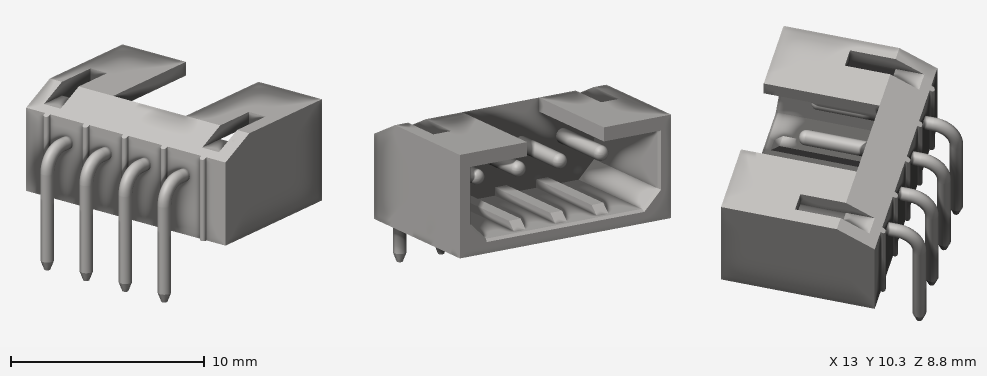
import cadquery as cq
import math


pin_count = 4
pitch = 2.54

body_width = 12.98
body_length = 8.2
body_height = 5.6
slope_length = 2.02
slope_drop = 1.0

roof_thickness = 0.76
floor_thickness = 0.75
side_wall = 0.75
cavity_floor_width = 9.58
lead_in = 0.14
cavity_depth = body_length - slope_length
cavity_top = body_height - roof_thickness
cavity_half_width = body_width / 2 - side_wall

gap_width = 4.72
slot_width = 1.09
slot_center_x = 5.15
slot_end_y = 4.45

guide_width = 0.72
guide_height = 0.45
guide_setback = 0.42
guide_slope_length = 0.47

standoff_width = 0.34
standoff_reach = 0.215
standoff_root = 0.4
standoff_flat = 0.06
standoff_radius = (standoff_width - standoff_flat) / 2

pin_height = 3.3
lead_diameter = 0.71
contact_diameter = 0.82
contact_tip_y = 6.02
contact_tip_rounding = 0.38
body_overlap = 1.0
bend_radius = 1.17
overall_length = 10.25
overall_height = 8.8
lead_y = body_length - overall_length + lead_diameter / 2
lead_tip_z = body_height - overall_height
taper_length = 0.51
taper_end_diameter = 0.32


def row_positions(count):
    """X positions of evenly pitched features centred on X = 0."""
    return [(i - (count - 1) / 2) * pitch for i in range(count)]


def extrude_along_x(profile, width, center_x):
    """Extrude a closed YZ profile symmetrically about X = center_x."""
    return profile.extrude(width / 2, both=True).translate((center_x, 0, 0))


def slope_rear_edge(solid):
    """Cut away everything above the sloped plane at the rear of the roof."""
    overshoot = 1.0
    steepness = slope_drop / slope_length
    profile = (
        cq.Workplane("YZ")
        .moveTo(slope_length, body_height)
        .lineTo(-overshoot, body_height - slope_drop - overshoot * steepness)
        .lineTo(-overshoot, body_height)
        .close()
    )
    return solid.cut(extrude_along_x(profile, body_width, 0))


def standoff_rib(x):
    """Full-height rib on the rear face, with two rounded corners."""
    return (
        cq.Workplane("XY", origin=(x, (standoff_root - standoff_reach) / 2, 0))
        .rect(standoff_width, standoff_root + standoff_reach)
        .extrude(body_height)
        .faces("<Y")
        .edges("|Z")
        .fillet(standoff_radius)
    )


def cavity_outline(workplane, growth):
    """Draw the bevelled cavity section, its floor, bevels and sides moved outward by growth."""
    half_floor = cavity_floor_width / 2 + growth * math.tan(math.pi / 8)
    half_width = cavity_half_width + growth
    floor_z = floor_thickness - growth
    bevel_top_z = floor_z + half_width - half_floor
    return (
        workplane.moveTo(-half_floor, floor_z)
        .lineTo(half_floor, floor_z)
        .lineTo(half_width, bevel_top_z)
        .lineTo(half_width, cavity_top)
        .lineTo(-half_width, cavity_top)
        .lineTo(-half_width, bevel_top_z)
        .close()
    )


def cavity():
    """Mating cavity, open toward +Y."""
    end_plane = cq.Workplane("XZ", origin=(0, slope_length, 0))
    return cavity_outline(end_plane, 0).extrude(-cavity_depth)


def mouth_lead_in():
    """Widening of the cavity at the mouth along the floor, bevels and side walls."""
    start_plane = cq.Workplane("XZ", origin=(0, body_length - lead_in, 0))
    start_section = cavity_outline(start_plane, 0)
    mouth_plane = start_section.workplane(offset=-lead_in)
    return cavity_outline(mouth_plane, lead_in).loft(ruled=True)


def roof_opening(center_x, width, start_y, end_y):
    """Rectangular opening through the thickness of the roof."""
    return (
        cq.Workplane("XY", origin=(center_x, (start_y + end_y) / 2, cavity_top))
        .rect(width, end_y - start_y)
        .extrude(roof_thickness)
    )


def guide_rib(x):
    """Floor rib between contacts, with a sloped end toward the mouth."""
    foot_y = body_length - guide_setback
    guide_top = floor_thickness + guide_height
    profile = (
        cq.Workplane("YZ")
        .moveTo(slope_length, 0)
        .lineTo(foot_y, 0)
        .lineTo(foot_y, floor_thickness)
        .lineTo(foot_y - guide_slope_length, guide_top)
        .lineTo(slope_length, guide_top)
        .close()
    )
    return extrude_along_x(profile, guide_width, x)


def housing():
    solid = cq.Workplane("XY").box(
        body_width, body_length, body_height, centered=(True, False, False)
    )
    for x in row_positions(pin_count + 1):
        solid = solid.union(standoff_rib(x))
    solid = slope_rear_edge(solid)
    solid = solid.cut(cavity()).cut(mouth_lead_in())
    solid = solid.cut(roof_opening(0, gap_width, slope_length, body_length))
    for side in (-1, 1):
        solid = solid.cut(roof_opening(side * slot_center_x, slot_width, 0, slot_end_y))
    for x in row_positions(pin_count - 1):
        solid = solid.union(guide_rib(x))
    return solid


def contact(x):
    """Straight round contact in the cavity with a rounded tip."""
    start_y = body_overlap
    return (
        cq.Workplane("XZ", origin=(x, start_y, pin_height))
        .circle(contact_diameter / 2)
        .extrude(start_y - contact_tip_y)
        .faces(">Y")
        .edges()
        .fillet(contact_tip_rounding)
    )


def lead(x):
    """Solder lead: out of the rear wall, bent down, with a tapered tip."""
    bend_start_y = lead_y + bend_radius
    bend_end_z = pin_height - bend_radius
    bend_mid_offset = bend_radius * math.sin(math.pi / 4)
    taper_start_z = lead_tip_z + taper_length
    path = (
        cq.Workplane("YZ", origin=(x, 0, 0))
        .moveTo(body_overlap, pin_height)
        .lineTo(bend_start_y, pin_height)
        .threePointArc(
            (bend_start_y - bend_mid_offset, bend_end_z + bend_mid_offset),
            (lead_y, bend_end_z),
        )
        .lineTo(lead_y, taper_start_z)
    )
    shank = (
        cq.Workplane("XZ", origin=(x, body_overlap, pin_height))
        .circle(lead_diameter / 2)
        .sweep(path)
    )
    tip = (
        cq.Workplane("XY", origin=(x, lead_y, lead_tip_z))
        .circle(taper_end_diameter / 2)
        .workplane(offset=taper_length)
        .circle(lead_diameter / 2)
        .loft(ruled=True)
    )
    return shank.union(tip)


result = housing()
for pin_x in row_positions(pin_count):
    result = result.union(contact(pin_x)).union(lead(pin_x))